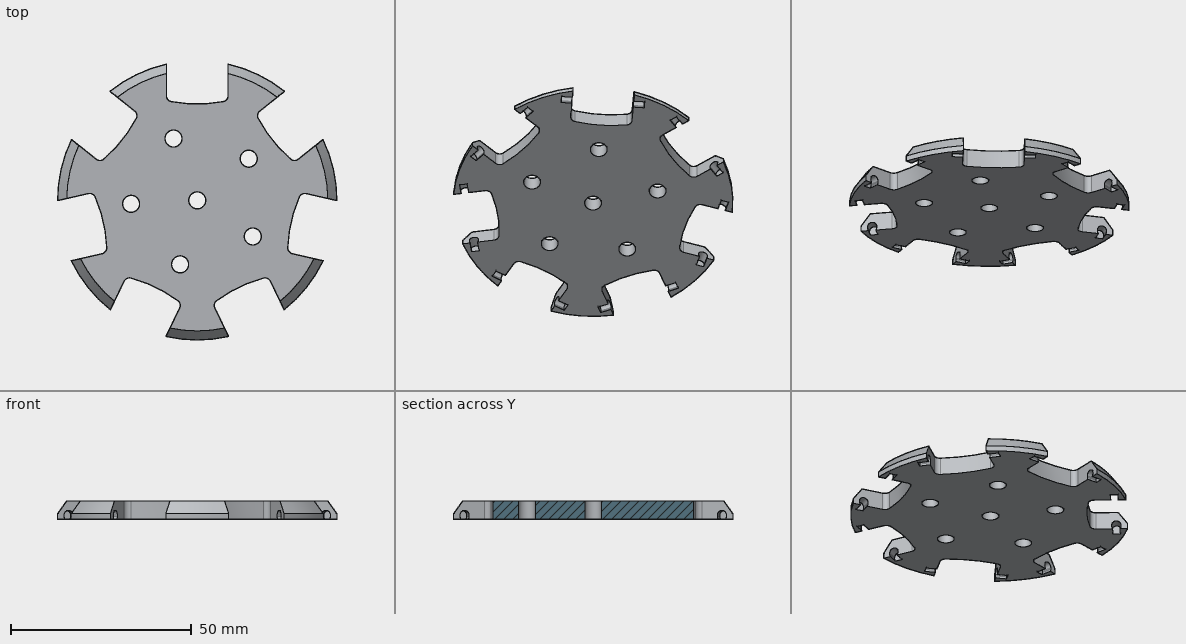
import cadquery as cq
import math

disc_radius = 38.7
thickness = 5.1
rim_height = 1.55
bevel_width = 2.55

notch_count = 7
notch_width = 17.05
notch_floor = 26.7
floor_arc_radius = 38.7
notch_corner_radius = 1.6
notch_overrun = 3.9

pocket_width = 2.55
pocket_depth = 3.0
pocket_lower_axis = 0.8
pocket_upper_axis = 1.2
pocket_distance = 34.6

hole_diameter = 4.65
hole_circle_radius = 18.35
hole_count = 5
first_hole_angle = 39.0


def make_disc():
    """Revolved disc with a conical bevel on its upper rim."""
    profile = (
        cq.Workplane("XZ")
        .lineTo(disc_radius, 0)
        .lineTo(disc_radius, rim_height)
        .lineTo(disc_radius - bevel_width, thickness)
        .lineTo(0, thickness)
        .close()
    )
    return profile.revolve(360, (0, 0, 0), (0, 1, 0))


def make_notch():
    """Cutter for the notch on +Y: straight walls, arched floor, rounded inner corners."""
    half_width = notch_width / 2
    floor_rise = floor_arc_radius - math.sqrt(floor_arc_radius**2 - half_width**2)
    corner_y = notch_floor + floor_rise
    outer_y = disc_radius + notch_overrun
    return (
        cq.Workplane("XY")
        .moveTo(-half_width, outer_y)
        .lineTo(-half_width, corner_y)
        .threePointArc((0, notch_floor), (half_width, corner_y))
        .lineTo(half_width, outer_y)
        .close()
        .extrude(thickness)
        .edges("|Z and (not >Y)")
        .fillet(notch_corner_radius)
    )


def make_pocket_pair():
    """Upright obround bar across the +Y notch that reaches one pocket depth into each wall."""
    half_length = notch_width / 2 + pocket_depth
    pocket_middle = (pocket_lower_axis + pocket_upper_axis) / 2
    pocket_length = pocket_upper_axis - pocket_lower_axis + pocket_width
    return (
        cq.Workplane("YZ")
        .center(pocket_distance, pocket_middle)
        .slot2D(pocket_length, pocket_width, 90)
        .extrude(half_length, both=True)
    )


def cut_holes(body):
    """Central hole and the ring of holes around it."""
    holes = (
        cq.Workplane("XY")
        .polarArray(hole_circle_radius, first_hole_angle, 360, hole_count)
        .circle(hole_diameter / 2)
        .extrude(thickness)
    )
    centre_hole = cq.Workplane("XY").circle(hole_diameter / 2).extrude(thickness)
    return body.cut(holes).cut(centre_hole)


result = cut_holes(make_disc())
notch_cutter = make_notch().union(make_pocket_pair())
for index in range(notch_count):
    notch_angle = index * 360 / notch_count
    result = result.cut(notch_cutter.rotate((0, 0, 0), (0, 0, 1), notch_angle))